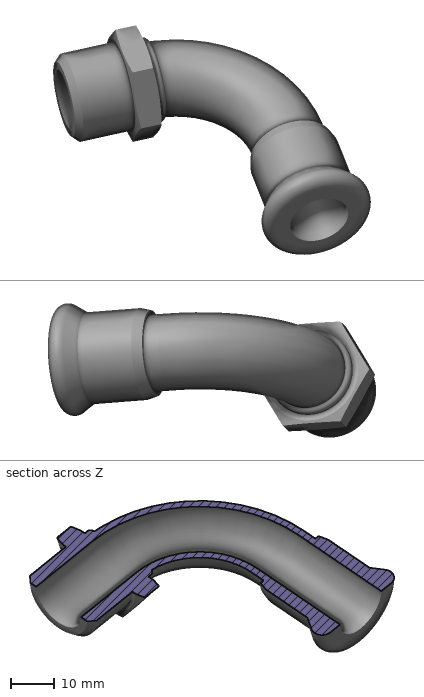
import cadquery as cq
import math

overall_length = 66.85
bend_radius = 26.9
pipe_radius = 8.95
bore_radius = 7.0

collar_start = 24.0
collar_radius = 10.1
collar_fillet = 1.1
hex_start = 25.95
hex_end = 32.1
hex_across_flats = 24.1
hex_chamfer_radius = 11.4
hex_chamfer_depth = 0.6
thread_end = 46.0
thread_radius = 10.5
thread_chamfer = 1.55

socket_start = 30.5
socket_entry_radius = 10.0
socket_taper_end = 32.9
socket_radius = 10.7
flare_start = 45.85
bead_outer_radius = 13.1
bead_section_radius = 2.6

hex_across_corners = hex_across_flats / math.cos(math.radians(30))
socket_end = overall_length - hex_across_corners / 2


def thread_leg_cylinder(radius, start, end):
    """Cylinder on the thread axis between two distances from the origin."""
    return cq.Workplane("XZ", origin=(0, -start, 0)).circle(radius).extrude(end - start)


def swept_elbow(radius):
    """Round bar from the thread end, around the bend, to the socket end."""
    diagonal = bend_radius * (1 - math.sqrt(0.5))
    path = (
        cq.Workplane("XY")
        .moveTo(0, -thread_end)
        .lineTo(0, -bend_radius)
        .threePointArc((diagonal, -diagonal), (bend_radius, 0))
        .lineTo(socket_end, 0)
    )
    return cq.Workplane("XZ", origin=(0, -thread_end, 0)).circle(radius).sweep(path)


def hex_nut():
    """Hexagon with its corners cut by a shallow cone on both faces."""
    prism = (
        cq.Workplane("XZ", origin=(0, -hex_start, 0))
        .polygon(6, hex_across_corners)
        .extrude(hex_end - hex_start)
    )
    corner_radius = hex_across_corners / 2
    envelope = (
        cq.Workplane("XY")
        .moveTo(0, -hex_start)
        .lineTo(hex_chamfer_radius, -hex_start)
        .lineTo(corner_radius, -hex_start - hex_chamfer_depth)
        .lineTo(corner_radius, -hex_end + hex_chamfer_depth)
        .lineTo(hex_chamfer_radius, -hex_end)
        .lineTo(0, -hex_end)
        .close()
        .revolve(360, (0, 0, 0), (0, 1, 0))
    )
    return prism.intersect(envelope)


def socket():
    """Press socket: tapered entry, cylinder, and a flare tangent to the round end bead."""
    bead_x = socket_end - bead_section_radius
    bead_y = bead_outer_radius - bead_section_radius
    run = bead_x - flare_start
    rise = bead_y - socket_radius
    flare_angle = math.atan2(rise, run) + math.asin(bead_section_radius / math.hypot(run, rise))
    tangent_point = (
        bead_x - bead_section_radius * math.sin(flare_angle),
        bead_y + bead_section_radius * math.cos(flare_angle),
    )
    return (
        cq.Workplane("XY")
        .moveTo(socket_start, 0)
        .lineTo(socket_start, socket_entry_radius)
        .lineTo(socket_taper_end, socket_radius)
        .lineTo(flare_start, socket_radius)
        .lineTo(*tangent_point)
        .threePointArc((bead_x, bead_outer_radius), (socket_end, bead_y))
        .lineTo(socket_end, 0)
        .close()
        .revolve(360, (0, 0, 0), (1, 0, 0))
    )


collar = thread_leg_cylinder(collar_radius, collar_start, hex_start).faces(">Y").edges().fillet(collar_fillet)
thread = thread_leg_cylinder(thread_radius, hex_end, thread_end).faces("<Y").edges().chamfer(thread_chamfer)

result = (
    swept_elbow(pipe_radius)
    .union(collar)
    .union(hex_nut())
    .union(thread)
    .union(socket())
    .cut(swept_elbow(bore_radius))
)